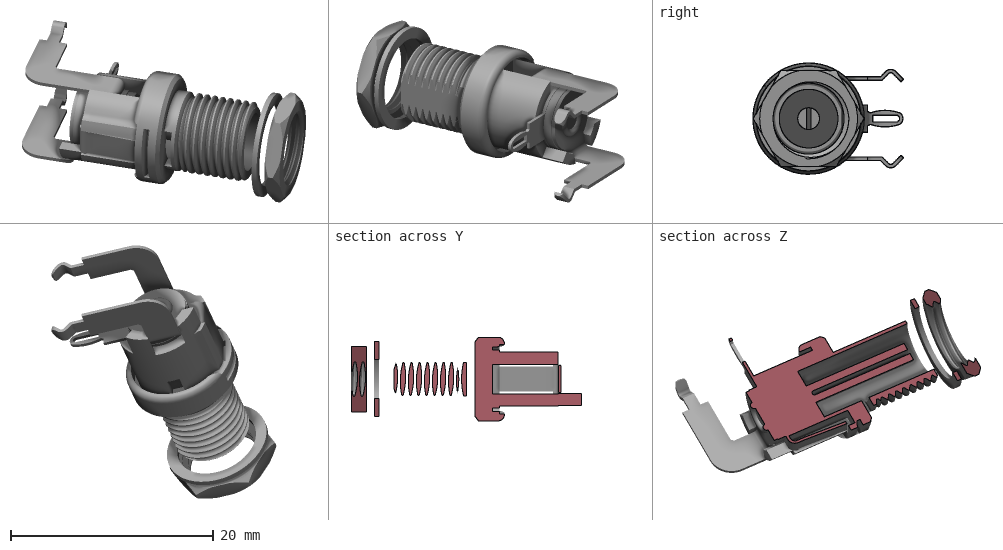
import cadquery as cq
import math

boss_rear = 4.8
rivet_rear = 5.25
disc_rear = 5.59
stub_rear = 5.97
plate_rear = 6.83
body_rear = 7.15
top_floor_step = 10.48
bottom_window_rear = 11.05
bore_floor = 11.28
flange_rear = 12.41
key_rear = 12.9
window_front = 13.27
lip_groove_end = 13.63
flange_front = 15.4
barrel_window_front = 16.18
collar_front = 16.53
thread_start = 16.9
barrel_front = 23.42
washer_rear = 24.85
nut_rear = 26.07
nut_front = 27.65

body_radius = 8.93 / 2
rib_radius = 4.87
rib_hollow_radius = 1.38
rib_shoulder_y = -4.23
rib_shoulder_half_height = 2.43
side_window_half = 1.45
side_window_floor_y = -3.32
bottom_window_half = 0.7
bottom_window_floor = -3.32
top_window_half = 2.8 / 2
top_floor_radius = 3.2
top_low_floor_radius = 3.07
boss_inner_radius = 3.35
boss_end_angle = math.radians(50)
boss_top_z = -1.4

flange_radius = 11.03 / 2
flange_round = 0.64
flange_chamfer = 0.35
lip_radius = 4.8
key_half_height = 2.9
key_inner_y = -3.05
key_inner_half_height = 3.57
key_slot_rear_outer = 13.63
key_slot_rear_inner = 13.95
key_slot_front = 14.25

barrel_radius = 3.98
barrel_flat_y = 3.32
barrel_chamfer = 0.25
barrel_window_half = 2.07
thread_pitch = 0.794
thread_root_radius = 3.5
relief_radius = 3.48
thread_root_flat = 0.1
thread_start_turn = -117
thread_half_angle = math.radians(30)
bore_radius = 2.9
pin_radius = 1.08
pin_front = 22.12
pin_slot_rear = 11.42
pin_slot_width = 0.45

stub_radius = 3.2
stub_base_radius = 3.25
disc_radius = 3.12
rivet_radius = 1.8
rivet_hole_radius = 1.02

sheet = 0.35
bend_radius = 0.77
terminal_face_z = 4.15
arm_width = 2.82
shoulder_y = 5.83
elbow_radius = 2.32
elbow_inner_radius = 0.25
upper_leg_face = 9.98
upper_leg_end_z = 3.05
lower_edge_y = -2.63
lower_inner_y = 0.64
lower_leg_end_z = 3.32
tab_end_z = -2.2
tab_slant = 0.24

prong_left = 0.75
prong_width = 1.25
prong_tip_y = 9.4
prong_kink_y = 7.2
prong_peak_rise = 0.95
prong_peak_radius = 0.5

plate = 0.33
plate_half = 1.35
neck_y = 6.1
neck_half = 0.58
lug_bulge_y = 7.6
lug_bulge_half = 0.83
lug_end_y = 9.01
lug_tip_y = 9.35
lug_hole_start = 6.35
lug_hole_end = 9.0
lug_hole_half = 0.64 / 2
lug_hole_chamfer = 0.2
spring_bend_radius = 0.8
spring_y = -4.42
spring_half = 1.25
spring_kink_x = 8.32
spring_crest_x = 12.65
spring_bulge = 0.22

washer_thickness = 0.5
washer_radius = 5.2
washer_hole_radius = 4.1
nut_half_flats = 4.75
nut_corner_radius = 2 * nut_half_flats / math.sqrt(3)
nut_chamfer_length = 0.55
nut_face_radius = 4.85

reach = 11.05


def cylinder(x_start, x_end, radius):
    """Solid cylinder about the jack axis."""
    return cq.Workplane("YZ").workplane(offset=x_start).circle(radius).extrude(x_end - x_start)


def block(x_range, y_range, z_range):
    """Axis-aligned box given by its limits."""
    limits = (x_range, y_range, z_range)
    size = [high - low for low, high in limits]
    corner = tuple(low for low, high in limits)
    return cq.Workplane("XY").box(*size, centered=False).translate(corner)


def prism(points, x_start, x_end):
    """Polygon of (Y, Z) points extruded along X."""
    outline = cq.Workplane("YZ").workplane(offset=x_start).polyline(points).close()
    return outline.extrude(x_end - x_start)


def revolved(outline):
    """Closed (X, radius) outline turned about the jack axis."""
    return outline.revolve(360, (0, 0, 0), (1, 0, 0))


def thread_groove(x_start, length, mouth_radius, root_radius):
    """Helical V groove, run slightly past the mouth so that it cuts the surface cleanly."""
    depth = abs(root_radius - mouth_radius)
    overrun = 0.08
    root_half = thread_root_flat / 2
    mouth_half = root_half + (depth + overrun) * math.tan(thread_half_angle)
    outer = mouth_radius + math.copysign(overrun, mouth_radius - root_radius)
    corners = [
        (root_radius, -root_half),
        (root_radius, root_half),
        (outer, mouth_half),
        (outer, -mouth_half),
    ]
    axis = cq.Vector(1, 0, 0)
    helices = [
        cq.Wire.makeHelix(thread_pitch, length, radius, cq.Vector(x_start + shift, 0, 0), axis)
        for radius, shift in corners
    ]
    faces = [cq.Face.makeRuledSurface(helices[i - 1], helices[i]) for i in range(len(helices))]
    for ends in ([h.startPoint() for h in helices], [h.endPoint() for h in helices]):
        faces.append(cq.Face.makeFromWires(cq.Wire.makePolygon(ends, close=True)))
    return cq.Workplane(obj=cq.Solid.makeSolid(cq.Shell.makeShell(faces)))




def tab_edges(z):
    """Left and right Y of the slanted tab under the contact disc, at height z."""
    lean = tab_slant * (z + terminal_face_z - sheet)
    return lower_inner_y + lean, lower_edge_y + lean


def tab_prism(z_low, z_high, x_start, x_end):
    """Slanted strip used for the tab and for the slot it passes through."""
    low_left, low_right = tab_edges(z_low)
    high_left, high_right = tab_edges(z_high)
    points = [(low_left, z_low), (low_right, z_low), (high_right, z_high), (high_left, z_high)]
    return prism(points, x_start, x_end)


def build_boss():
    """Ring sector behind the body, split by the slot for the tab."""
    ring = cylinder(boss_rear, body_rear, body_radius).cut(
        cylinder(boss_rear, body_rear, boss_inner_radius)
    )
    sector = [
        (0, 0),
        (reach * math.cos(boss_end_angle), -reach * math.sin(boss_end_angle)),
        (-reach, -reach),
        (-reach, boss_top_z),
        (0, boss_top_z),
    ]
    ring = ring.intersect(prism(sector, boss_rear, body_rear))
    return ring.cut(tab_prism(-body_radius - 0.28, tab_end_z, boss_rear, body_rear))


def build_body():
    """Round body with a rib on the -Y side, openings at top and bottom, and the rear boss."""
    body = cylinder(body_rear, lip_groove_end, body_radius)
    shoulder_distance = math.hypot(rib_shoulder_y, rib_shoulder_half_height)
    centre_distance = body_radius + rib_hollow_radius
    turn = math.acos(
        (centre_distance**2 + shoulder_distance**2 - rib_hollow_radius**2)
        / (2 * centre_distance * shoulder_distance)
    )
    angle = math.atan2(rib_shoulder_half_height, rib_shoulder_y) - turn
    centre = cq.Vector(centre_distance * math.cos(angle), centre_distance * math.sin(angle))
    root = centre * (body_radius / centre_distance)
    shoulder = cq.Vector(rib_shoulder_y, rib_shoulder_half_height)
    hollow = centre + ((root + shoulder) * 0.5 - centre).normalized() * rib_hollow_radius
    rib_section = (
        cq.Workplane("YZ")
        .workplane(offset=body_rear)
        .moveTo(0, root.y)
        .lineTo(root.x, root.y)
        .threePointArc((hollow.x, hollow.y), (rib_shoulder_y, rib_shoulder_half_height))
        .lineTo(-rib_radius, rib_shoulder_half_height)
        .lineTo(-rib_radius, -rib_shoulder_half_height)
        .lineTo(rib_shoulder_y, -rib_shoulder_half_height)
        .threePointArc((hollow.x, -hollow.y), (root.x, -root.y))
        .lineTo(0, -root.y)
        .close()
        .extrude(key_rear - body_rear)
    )
    rib = cylinder(body_rear, key_rear, rib_radius).intersect(rib_section)
    top_window = block((body_rear, window_front), (-top_window_half, top_window_half), (0, body_radius))
    top_window = top_window.cut(cylinder(body_rear, top_floor_step, top_floor_radius))
    top_window = top_window.cut(cylinder(top_floor_step, bore_floor, top_low_floor_radius))
    bottom_window = block(
        (bottom_window_rear, window_front),
        (-bottom_window_half, bottom_window_half),
        (-rib_radius, bottom_window_floor),
    )
    return body.union(rib).cut(top_window).cut(bottom_window).union(build_boss())


def build_flange():
    """Flange with a rounded rear lip, a groove inside the lip and a slotted key on the -Y side."""
    inset = flange_round * (1 - math.sqrt(0.5))
    outline = (
        cq.Workplane("XY")
        .moveTo(lip_groove_end, 0)
        .lineTo(lip_groove_end, lip_radius)
        .lineTo(flange_rear, lip_radius)
        .lineTo(flange_rear, flange_radius - flange_round)
        .threePointArc(
            (flange_rear + inset, flange_radius - inset), (flange_rear + flange_round, flange_radius)
        )
        .lineTo(flange_front - flange_chamfer, flange_radius)
        .lineTo(flange_front, flange_radius - flange_chamfer)
        .lineTo(flange_front, 0)
        .close()
    )
    rim_notch = prism(
        [
            (key_inner_y, key_inner_half_height),
            (-flange_radius, key_half_height),
            (-flange_radius, -key_half_height),
            (key_inner_y, -key_inner_half_height),
        ],
        flange_rear,
        key_rear,
    )
    key_slot = revolved(
        cq.Workplane("XY")
        .moveTo(key_slot_rear_inner, lip_radius)
        .lineTo(key_slot_rear_outer, flange_radius)
        .lineTo(key_slot_front, flange_radius)
        .lineTo(key_slot_front, lip_radius)
        .close()
    )
    key_slot = key_slot.intersect(
        block((flange_rear, flange_front), (-reach, 0), (-key_half_height, key_half_height))
    )
    key_back = cylinder(key_rear, lip_groove_end, lip_radius).intersect(
        block((key_rear, lip_groove_end), (-flange_radius, key_inner_y), (-key_half_height, key_half_height))
    )
    return revolved(outline).cut(rim_notch).union(key_back).cut(key_slot)


def build_barrel():
    """Threaded barrel with a relief behind the thread and one flat side."""
    thread_depth = barrel_radius - thread_root_radius
    outline = (
        cq.Workplane("XY")
        .moveTo(lip_groove_end, 0)
        .lineTo(lip_groove_end, barrel_radius)
        .lineTo(barrel_front - barrel_chamfer, barrel_radius)
        .lineTo(barrel_front, barrel_radius - barrel_chamfer)
        .lineTo(barrel_front, 0)
        .close()
    )
    relief_slope = thread_depth * math.tan(thread_half_angle)
    relief = (
        cq.Workplane("XY")
        .moveTo(collar_front, barrel_radius)
        .lineTo(collar_front + relief_slope, relief_radius)
        .lineTo(thread_start, relief_radius)
        .lineTo(thread_start + relief_slope, barrel_radius)
        .close()
    )
    thread_length = barrel_front - thread_start + thread_depth
    groove = thread_groove(thread_start, thread_length, barrel_radius, thread_root_radius)
    groove = groove.rotate((0, 0, 0), (1, 0, 0), thread_start_turn)
    barrel = revolved(outline).cut(groove).cut(revolved(relief))
    flat = block((flange_front, barrel_front), (barrel_flat_y, reach), (-reach, reach))
    return barrel.cut(flat)


def build_pin():
    """Centre pin, split lengthwise from its tip."""
    slot_end_x = pin_slot_rear + pin_slot_width / 2
    slot = block(
        (slot_end_x, pin_front), (-pin_slot_width / 2, pin_slot_width / 2), (-pin_radius, pin_radius)
    )
    slot_end = (
        cq.Workplane("XY")
        .workplane(offset=-pin_radius)
        .center(slot_end_x, 0)
        .circle(pin_slot_width / 2)
        .extrude(2 * pin_radius)
    )
    return cylinder(bore_floor, pin_front, pin_radius).cut(slot).cut(slot_end)


def build_stub():
    """Rear stub, the contact disc on it and the rolled rivet rim."""
    stub = cylinder(stub_rear, plate_rear, stub_radius)
    stub = stub.union(cylinder(plate_rear, body_rear, stub_base_radius))
    stub = stub.union(cylinder(disc_rear, stub_rear, disc_radius))
    rim_middle = (rivet_radius + rivet_hole_radius) / 2
    rim = (
        cq.Workplane("XY")
        .moveTo(disc_rear, rivet_hole_radius)
        .threePointArc((rivet_rear, rim_middle), (disc_rear, rivet_radius))
        .close()
    )
    return stub.union(revolved(rim))




def terminal_plan(edge_y, inner_y, end_x):
    """Plan of the L-shaped terminal arm, with its rounded elbow, as a tall prism."""
    inset = elbow_radius * (1 - math.sqrt(0.5))
    plan = (
        cq.Workplane("XY")
        .moveTo(end_x, edge_y)
        .lineTo(elbow_radius, edge_y)
        .threePointArc((inset, edge_y + inset), (0, edge_y + elbow_radius))
        .lineTo(0, shoulder_y)
        .lineTo(arm_width, shoulder_y)
        .lineTo(arm_width, inner_y + elbow_inner_radius)
        .lineTo(arm_width + elbow_inner_radius, inner_y)
        .lineTo(end_x, inner_y)
        .close()
    )
    return plan.extrude(terminal_face_z)


def bent_strip(leg_face, leg_end_z, y_range):
    """Sheet that runs along X under the terminal face and bends down into a leg."""
    def corner(radius):
        return (
            leg_face - bend_radius + radius * math.sqrt(0.5),
            terminal_face_z - bend_radius + radius * math.sqrt(0.5),
        )

    inner_radius = bend_radius - sheet
    bend_x = leg_face - bend_radius
    bend_z = terminal_face_z - bend_radius
    outline = (
        cq.Workplane("XZ", origin=(0, y_range[1], 0))
        .moveTo(0, terminal_face_z)
        .lineTo(bend_x, terminal_face_z)
        .threePointArc(corner(bend_radius), (leg_face, bend_z))
        .lineTo(leg_face, leg_end_z)
        .lineTo(leg_face - sheet, leg_end_z)
        .lineTo(leg_face - sheet, bend_z)
        .threePointArc(corner(inner_radius), (bend_x, terminal_face_z - sheet))
        .lineTo(0, terminal_face_z - sheet)
        .close()
    )
    return outline.extrude(y_range[1] - y_range[0])


def build_prong():
    """Narrow end of a terminal with a 45-degree hump and a rounded tip."""
    half = sheet / 2
    middle_z = terminal_face_z - half
    miter = half * math.tan(math.pi / 8)
    peak_y = prong_kink_y + prong_peak_rise
    peak_z = middle_z + prong_peak_rise
    end_offset = half * math.sqrt(0.5)
    end_y = prong_tip_y - end_offset
    end_z = peak_z - (end_y - peak_y)
    peak_offset = half * math.sqrt(2)
    outline = [
        (shoulder_y, middle_z + half),
        (prong_kink_y - miter, middle_z + half),
        (peak_y, peak_z + peak_offset),
        (end_y + end_offset, end_z + end_offset),
        (end_y - end_offset, end_z - end_offset),
        (peak_y, peak_z - peak_offset),
        (prong_kink_y + miter, middle_z - half),
        (shoulder_y, middle_z - half),
    ]
    strip = prism(outline, prong_left, prong_left + prong_width)
    for side, radius in ((1, prong_peak_radius + half), (-1, prong_peak_radius - half)):
        edge_point = (prong_left + prong_width / 2, peak_y, peak_z + side * peak_offset)
        strip = strip.edges(cq.selectors.NearestToPointSelector(edge_point)).fillet(radius)
    tip_y = prong_tip_y - prong_width / 2
    plan = (
        cq.Workplane("XY")
        .moveTo(prong_left, shoulder_y)
        .lineTo(prong_left, tip_y)
        .threePointArc((prong_left + prong_width / 2, prong_tip_y), (prong_left + prong_width, tip_y))
        .lineTo(prong_left + prong_width, shoulder_y)
        .close()
        .extrude(reach)
    )
    return strip.intersect(plan)


def build_terminal(edge_y, inner_y, leg_face, leg_end_z):
    """L-shaped terminal with a bent leg at one end and a prong at the other."""
    plan = terminal_plan(edge_y, inner_y, leg_face)
    strip = bent_strip(leg_face, leg_end_z, (edge_y, shoulder_y)).intersect(plan)
    return strip.union(build_prong())


def build_lower_terminal():
    """Terminal bent toward the slanted tab of the contact disc."""
    terminal = build_terminal(lower_edge_y, lower_inner_y, stub_rear, lower_leg_end_z).mirror("XY")
    return terminal.union(tab_prism(-lower_leg_end_z, tab_end_z, disc_rear, stub_rear))


def build_solder_lug():
    """Flat side plate with an eyelet lug at its end."""
    lug = (
        cq.Workplane("YZ")
        .workplane(offset=plate_rear)
        .moveTo(spring_y + spring_bend_radius, -plate_half)
        .lineTo(shoulder_y, -plate_half)
        .lineTo(shoulder_y, -neck_half - (neck_y - shoulder_y) / 2)
        .lineTo(neck_y, -neck_half)
        .threePointArc((lug_bulge_y, -lug_bulge_half), (lug_end_y, -neck_half))
        .threePointArc((lug_tip_y, 0), (lug_end_y, neck_half))
        .threePointArc((lug_bulge_y, lug_bulge_half), (neck_y, neck_half))
        .lineTo(shoulder_y, neck_half + (neck_y - shoulder_y) / 2)
        .lineTo(shoulder_y, plate_half)
        .lineTo(spring_y + spring_bend_radius, plate_half)
        .close()
        .extrude(plate)
    )
    hole = block(
        (plate_rear, plate_rear + plate), (lug_hole_start, lug_hole_end), (-lug_hole_half, lug_hole_half)
    )
    return lug.cut(hole.edges("|X and >Y").chamfer(lug_hole_chamfer))


def build_spring():
    """Bend and spring leaf that continue the side plate into the side window."""
    bend_x = plate_rear + spring_bend_radius
    bend_y = spring_y + spring_bend_radius
    bend = (
        cq.Workplane("XY")
        .workplane(offset=-side_window_half)
        .center(bend_x, bend_y)
        .circle(spring_bend_radius)
        .circle(spring_bend_radius - plate)
        .extrude(2 * side_window_half)
    )
    bend = bend.intersect(
        block((plate_rear, bend_x), (spring_y, bend_y), (-side_window_half, side_window_half))
    )
    leaf = (
        cq.Workplane("XY")
        .workplane(offset=-spring_half)
        .moveTo(bend_x, spring_y)
        .lineTo(spring_kink_x, spring_y)
        .lineTo(spring_crest_x, spring_y - spring_bulge)
        .lineTo(key_rear, spring_y - spring_bulge)
        .lineTo(key_rear, spring_y - spring_bulge + plate)
        .lineTo(spring_crest_x, spring_y - spring_bulge + plate)
        .lineTo(spring_kink_x, spring_y + plate)
        .lineTo(bend_x, spring_y + plate)
        .close()
        .extrude(2 * spring_half)
    )
    return bend.union(leaf)




def build_jack():
    """Housing with its bore, windows, pin and contacts as one solid."""
    jack = build_body().union(build_flange()).union(build_barrel())
    barrel_window = block(
        (flange_front, barrel_window_front), (-barrel_radius, 0), (-barrel_window_half, barrel_window_half)
    )
    side_window = block(
        (body_rear, lip_groove_end), (-rib_radius, side_window_floor_y), (-side_window_half, side_window_half)
    )
    jack = jack.cut(side_window).cut(barrel_window).cut(cylinder(bore_floor, barrel_front, bore_radius))
    contacts = [
        build_pin(),
        build_stub(),
        build_terminal(-top_window_half, top_window_half, upper_leg_face, upper_leg_end_z),
        build_lower_terminal(),
        build_solder_lug(),
        build_spring(),
    ]
    for contact in contacts:
        jack = jack.union(contact)
    return jack


def build_washer():
    """Flat ring between the flange and the nut."""
    washer_front = washer_rear + washer_thickness
    hole = cylinder(washer_rear, washer_front, washer_hole_radius)
    return cylinder(washer_rear, washer_front, washer_radius).cut(hole)


def build_nut():
    """Hexagon nut with both ends chamfered and a threaded hole."""
    hexagon = [
        (nut_corner_radius * math.cos(i * math.pi / 3), nut_corner_radius * math.sin(i * math.pi / 3))
        for i in range(6)
    ]
    chamfered = (
        cq.Workplane("XY")
        .moveTo(nut_rear, 0)
        .lineTo(nut_rear, nut_face_radius)
        .lineTo(nut_rear + nut_chamfer_length, nut_corner_radius)
        .lineTo(nut_front - nut_chamfer_length, nut_corner_radius)
        .lineTo(nut_front, nut_face_radius)
        .lineTo(nut_front, 0)
        .close()
    )
    nut = prism(hexagon, nut_rear, nut_front).intersect(revolved(chamfered))
    nut = nut.cut(cylinder(nut_rear, nut_front, thread_root_radius))
    run_in = 0.55
    groove_length = nut_front - nut_rear + 2 * run_in
    return nut.cut(thread_groove(nut_rear - run_in, groove_length, thread_root_radius, barrel_radius))


jack = build_jack()
washer = build_washer()
nut = build_nut()
result = cq.Compound.makeCompound([jack.val(), washer.val(), nut.val()])